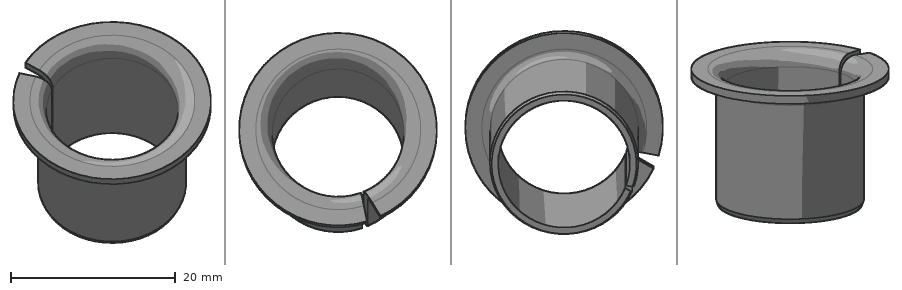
import cadquery as cq
import math

flange_diameter = 23.98
sleeve_diameter = 17.98
height = 17.0
wall = 1.0
chamfer_height = 0.6
chamfer_angle = 20.0
slit_bore_width = 0.34
slit_side_angle = 10.0

flange_radius = flange_diameter / 2
sleeve_radius = sleeve_diameter / 2
bore_radius = sleeve_radius - wall
flange_bottom = height - wall
outer_bend = wall
inner_bend = outer_bend + wall
bend_center_radius = sleeve_radius + outer_bend
bend_center_z = flange_bottom - outer_bend
chamfer_depth = chamfer_height * math.tan(math.radians(chamfer_angle))


def bend_point(radius):
    """Middle of a bend arc, halfway between vertical and horizontal."""
    offset = radius * math.sqrt(0.5)
    return bend_center_radius - offset, bend_center_z + offset


def flanged_sleeve():
    """Revolve the constant-thickness wall with its rolled flange."""
    profile = (
        cq.Workplane("XZ")
        .moveTo(bore_radius, 0)
        .lineTo(sleeve_radius - chamfer_depth, 0)
        .lineTo(sleeve_radius, chamfer_height)
        .lineTo(sleeve_radius, bend_center_z)
        .threePointArc(bend_point(outer_bend), (bend_center_radius, flange_bottom))
        .lineTo(flange_radius, flange_bottom)
        .lineTo(flange_radius, height)
        .lineTo(bend_center_radius, height)
        .threePointArc(bend_point(inner_bend), (bore_radius, bend_center_z))
        .close()
    )
    sleeve = profile.revolve(360, (0, 0, 0), (0, 1, 0))
    return sleeve.rotate((0, 0, 0), (0, 0, 1), 180)


def slit():
    """Wedge on the -X side, opening outward over the full height."""
    slope = math.tan(math.radians(slit_side_angle))
    apex_radius = bore_radius - slit_bore_width / 2 / slope
    outer_end = flange_diameter
    half_width = (outer_end - apex_radius) * slope
    return (
        cq.Workplane("XY")
        .polyline([(-apex_radius, 0), (-outer_end, half_width), (-outer_end, -half_width)])
        .close()
        .extrude(height)
    )


result = flanged_sleeve().cut(slit())